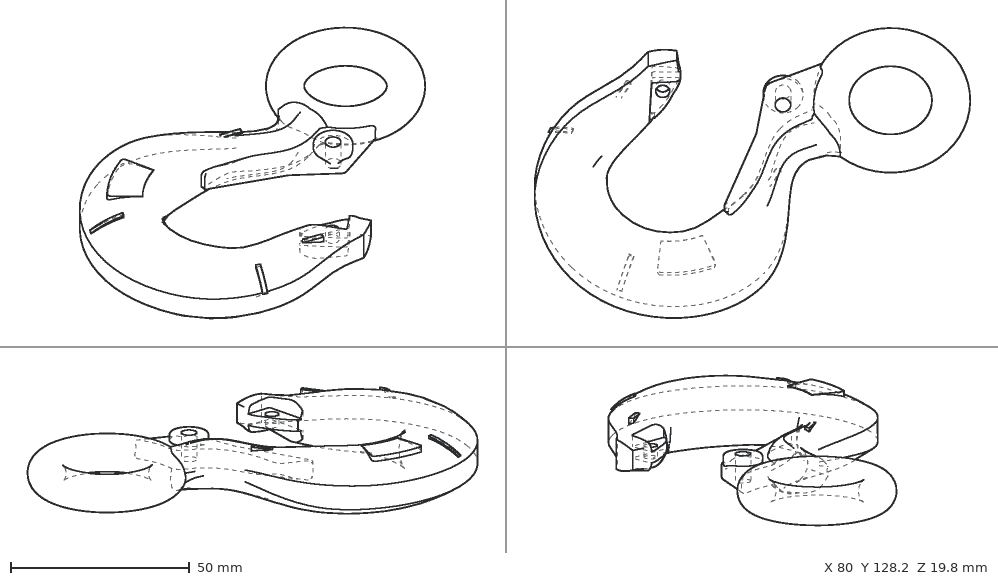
import cadquery as cq
import math


eye_y = 67.2
eye_ring_radius = 16.9
eye_bar_radius = 5.4

throat_radius = 17.5
bowl_outer_radius = 38.7
bowl_outer_x = -2.7
bowl_crest = 6.2
bowl_left_height = 9.0
bowl_side_height = 9.6
bowl_bottom_height = 9.9

neck_band = 1.0
hook_band = 3.5
flank_bulge = 0.8

lug_half_thickness = 2.8
lug_right_x = 17.5
lug_corner = (lug_right_x, 36.7)
lug_fin_corner = (4.1, 28.1)
lug_corner_fillet = 1.9
lug_edge_fillet = 1.4
boss_x, boss_y = 11.8, 39.5
boss_radius = 5.5
boss_top = 5.0
boss_edge_fillet = 0.8
boss_hole_diameter = 4.4

tip_floor_height = 1.7
tip_bulge_y = 9.5
tip_recess_fillet = 0.6
tip_hole_x, tip_hole_y = 28.3, 10.0
tip_hole_diameter = 3.8

pad_inner_radius, pad_outer_radius = 23.5, 33.5
pad_start_angle, pad_end_angle = 180, 209
pad_top = 9.1
pad_corner_radius = 1.0
mark_width = 1.4
mark_rise = 0.6
mark_inner_radius, mark_outer_radius = 29.8, 39.3
radial_mark_angles = (224, 317)
gauge_mark_length = 6.2
gauge_marks = [(28.7, -1.8, 7.5, 52), (-13.3, 25.9, 7.7, 53)]

clearance = 12.8


def bowl_points(angle):
    """Throat point and outer point of the bowl along a ray from the origin."""
    cos_a = math.cos(math.radians(angle))
    sin_a = math.sin(math.radians(angle))
    along = bowl_outer_x * cos_a
    across = bowl_outer_x * sin_a
    reach = along + math.sqrt(bowl_outer_radius**2 - across**2)
    return (throat_radius * cos_a, throat_radius * sin_a), (reach * cos_a, reach * sin_a)


def section(inner, outer, crest, height, band):
    """Teardrop profile standing on the line from the throat point to the outer point.

    A half ellipse rounds the throat side up to the crest; arcs fall from the crest
    to a straight band along the outer edge.
    """
    dx, dy = outer[0] - inner[0], outer[1] - inner[1]
    width = math.hypot(dx, dy)
    flank_u = (crest + width) / 2
    flank_z = band + flank_bulge * (height - band)
    plane = cq.Plane(origin=(inner[0], inner[1], 0), xDir=(dx, dy, 0), normal=(dy, -dx, 0))
    return (
        cq.Workplane(plane)
        .moveTo(crest, height)
        .threePointArc((flank_u, flank_z), (width, band))
        .lineTo(width, -band)
        .threePointArc((flank_u, -flank_z), (crest, -height))
        .ellipseArc(crest, height, 90, 270, rotation_angle=0, sense=-1, startAtCurrent=True)
        .close()
    )


def bowl_section(angle, height):
    inner, outer = bowl_points(angle)
    return section(inner, outer, bowl_crest, height, hook_band)


def hook_body():
    """Smooth loft from inside the eye, down the neck and round the bowl to the tip."""
    neck = [
        section((10.3, 51.3), (-14.8, 51.6), 11.5, 5.1, neck_band),
        section((5.1, 44.9), (-9.0, 44.9), 6.7, 6.4, neck_band),
        section((4.5, 39.4), (-7.8, 39.4), 5.6, 7.2, neck_band),
        section((2.6, 34.0), (-8.9, 35.9), 4.9, 7.3, 1.3),
        section((-1.7, 29.0), (-11.8, 32.6), 4.6, 7.3, 1.5),
        section((-8.7, 22.7), (-19.2, 28.2), 4.6, 7.6, 2.3),
        section((-13.1, 16.2), (-28.2, 23.2), 4.9, 8.3, 3.0),
        section((-15.5, 8.7), (-36.7, 15.4), 5.5, 8.9, hook_band),
    ]
    bowl = [
        bowl_section(180, bowl_left_height),
        bowl_section(202.5, bowl_left_height),
        bowl_section(225, bowl_left_height),
        bowl_section(247.5, bowl_side_height),
        bowl_section(270, bowl_bottom_height),
        bowl_section(292.5, bowl_side_height),
    ]
    point = [
        section((11.9, -12.8), (25.3, -25.9), bowl_crest, 9.0, hook_band),
        section((16.4, -5.8), (32.0, -14.1), 5.6, 8.5, hook_band),
        section((20.5, 2.6), (34.4, -2.2), 4.6, 7.0, hook_band),
        section((25.5, 11.3), (37.5, 7.5), 3.3, 5.1, 4.1),
        section((32.1, 16.5), (37.0, 17.8), 1.0, 3.0, 2.8),
    ]
    outlines = [profile.wires().val() for profile in neck + bowl + point]
    return cq.Workplane(cq.Solid.makeLoft(outlines))


def eye():
    centre = cq.Vector(0, eye_y, 0)
    return cq.Workplane(cq.Solid.makeTorus(eye_ring_radius, eye_bar_radius, centre, cq.Vector(0, 0, 1)))


def latch_lug():
    """Round-edged plate with a boss on top; its inner side is buried in the neck."""
    plate = (
        cq.Workplane("XY")
        .moveTo(lug_right_x, 55.2)
        .lineTo(*lug_corner)
        .lineTo(*lug_fin_corner)
        .lineTo(-13.3, 11.0)
        .lineTo(-16.7, 12.3)
        .lineTo(-5.1, 28.2)
        .lineTo(0.0, 38.5)
        .lineTo(2.6, 50.0)
        .close()
        .extrude(lug_half_thickness, both=True)
    )
    for corner in (lug_corner, lug_fin_corner):
        nearest = cq.selectors.NearestToPointSelector((*corner, 0))
        plate = plate.edges("|Z").edges(nearest).fillet(lug_corner_fillet)
    plate = plate.faces("|Z").edges().fillet(lug_edge_fillet)
    boss = (
        cq.Workplane("XY")
        .center(boss_x, boss_y)
        .circle(boss_radius)
        .extrude(boss_top)
        .faces(">Z")
        .edges()
        .fillet(boss_edge_fillet)
    )
    return plate.union(boss)


def tip_end_trim():
    """Cutter that leaves a rounded back on the tip, running up to its sharp point."""
    return (
        cq.Workplane("XY")
        .moveTo(36.3, 18.2)
        .threePointArc((37.8, 13.9), (38.6, tip_bulge_y))
        .lineTo(42.3, tip_bulge_y)
        .lineTo(42.3, 18.2)
        .close()
        .extrude(clearance, both=True)
    )


def tip_floor():
    """Blunt-edged plate that carries the latch seat."""
    return (
        cq.Workplane("XY")
        .moveTo(21.4, 4.5)
        .threePointArc((25.9, 11.8), (32.1, 16.5))
        .lineTo(34.6, 9.0)
        .close()
        .extrude(tip_floor_height, both=True)
    )


def tip_recess():
    """Pocket above the tip floor, open toward the throat."""
    return (
        cq.Workplane("XY", origin=(0, 0, tip_floor_height))
        .polyline([(21.8, 3.1), (33.7, 9.0), (30.8, 15.7), (28.2, 19.2), (15.4, 12.8)])
        .close()
        .extrude(clearance)
        .edges("|Z")
        .edges(">X")
        .fillet(tip_recess_fillet)
    )


def through_hole(x, y, diameter):
    return cq.Workplane("XY").center(x, y).circle(diameter / 2).extrude(clearance, both=True)


def raised_pad():
    """Flat-topped ring sector rising out of the left flank of the bowl."""
    pad = (
        cq.Workplane("XZ")
        .moveTo(pad_inner_radius, 0)
        .lineTo(pad_outer_radius, 0)
        .lineTo(pad_outer_radius, pad_top)
        .lineTo(pad_inner_radius, pad_top)
        .close()
        .revolve(pad_end_angle - pad_start_angle, (0, 0), (0, 1))
        .rotate((0, 0, 0), (0, 0, 1), pad_start_angle)
    )
    for angle in (pad_start_angle, pad_end_angle):
        corner_x = pad_outer_radius * math.cos(math.radians(angle))
        corner_y = pad_outer_radius * math.sin(math.radians(angle))
        nearest = cq.selectors.NearestToPointSelector((corner_x, corner_y, pad_top / 2))
        pad = pad.edges("|Z").edges(nearest).fillet(pad_corner_radius)
    return pad


def radial_mark(angle):
    """Thin raised bar that follows the outer flank of the bowl."""
    bar = bowl_section(angle, bowl_left_height + mark_rise).extrude(mark_width / 2, both=True)
    ring = (
        cq.Workplane("XY", origin=(0, 0, hook_band))
        .circle(mark_outer_radius)
        .circle(mark_inner_radius)
        .extrude(clearance)
    )
    return bar.intersect(ring)


def gauge_mark(x, y, top, angle):
    """Raised bar with a level top, centred on (x, y)."""
    bar = cq.Workplane("XY").rect(gauge_mark_length, mark_width).extrude(top)
    return bar.rotate((0, 0, 0), (0, 0, 1), angle).translate((x, y, 0))


result = hook_body().cut(tip_end_trim())
result = result.union(eye()).union(latch_lug()).union(tip_floor())
result = result.cut(tip_recess()).cut(tip_recess().mirror("XY"))
result = result.union(raised_pad())
for mark_angle in radial_mark_angles:
    result = result.union(radial_mark(mark_angle))
for mark in gauge_marks:
    result = result.union(gauge_mark(*mark))
result = result.cut(through_hole(boss_x, boss_y, boss_hole_diameter))
result = result.cut(through_hole(tip_hole_x, tip_hole_y, tip_hole_diameter))